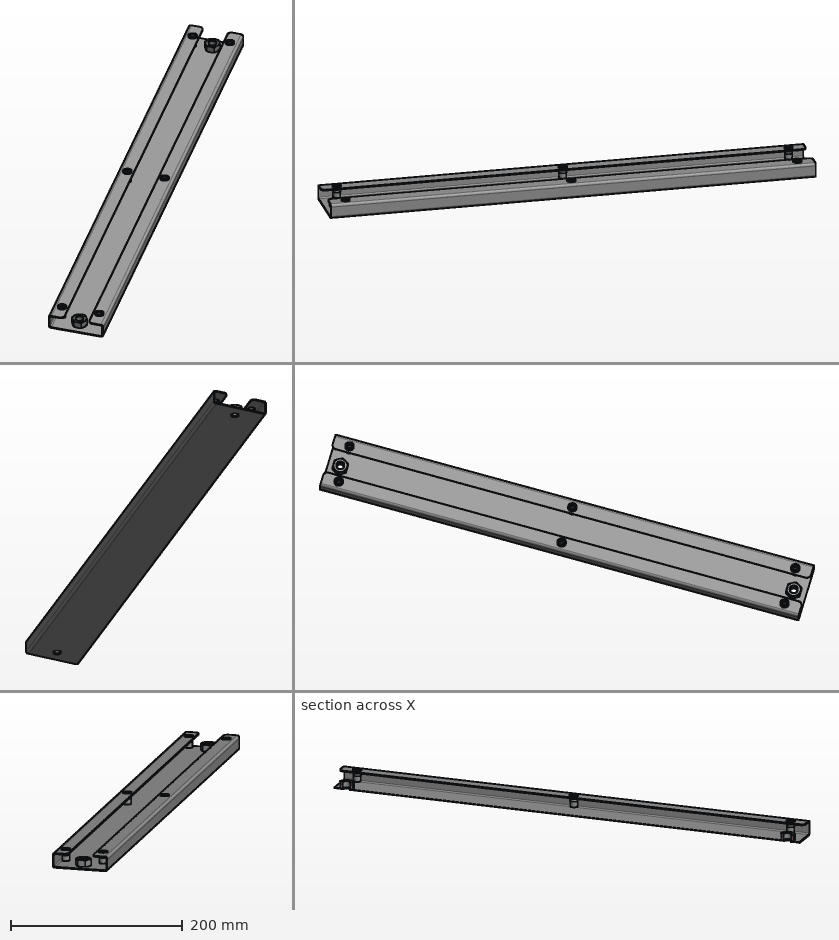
import cadquery as cq
import math

length = 580.0
width = 66.0
channel_height = 18.0
sheet = 1.5
mouth_width = 30.0
bend_radius = 3.0
inner_bend_radius = bend_radius - sheet
lip_corner_radius = 5.0

rivet_top = 18.5
rivet_x = 22.5
rivet_end_margin = 20.0
rivet_bottom = 4.5
rivet_head_diameter = 10.5
rivet_collar_diameter = 9.0
rivet_collar_bottom = 11.5
rivet_body_diameter = 8.5
rivet_bore_diameter = 7.5
rivet_thread_diameter = 6.0
rivet_thread_length = 10.0

nut_end_margin = 15.0
nut_across_flats = 16.0
nut_height = 8.0
nut_bore_diameter = 8.5
nut_mouth_diameter = 10.0
nut_chamfer_angle = 30

rivet_y = length / 2 - rivet_end_margin
rivet_points = [(side * rivet_x, y) for side in (-1, 1) for y in (-rivet_y, 0, rivet_y)]
nut_y = length / 2 - nut_end_margin
nut_points = [(0, -nut_y), (0, nut_y)]


def cylinder(diameter, bottom, top):
    return cq.Workplane("XY").workplane(offset=bottom).circle(diameter / 2).extrude(top - bottom)


def box(x_size, y_size, bottom, top):
    return cq.Workplane("XY").workplane(offset=bottom).rect(x_size, y_size).extrude(top - bottom)


def make_channel():
    outer = box(width, length, 0, channel_height).edges("|Y").fillet(bend_radius)
    inner = box(width - 2 * sheet, length, sheet, channel_height - sheet)
    inner = inner.edges("|Y").fillet(inner_bend_radius)
    mouth = box(mouth_width, length, channel_height / 2, channel_height)
    body = outer.cut(inner).cut(mouth)
    lip_corners = cq.selectors.BoxSelector(
        (-mouth_width, -length, channel_height - sheet),
        (mouth_width, length, channel_height),
    )
    body = body.edges("|Z").edges(lip_corners).fillet(lip_corner_radius)
    for x, y in rivet_points:
        lip_hole = cylinder(rivet_collar_diameter, channel_height / 2, channel_height)
        body = body.cut(lip_hole.translate((x, y, 0)))
    for x, y in nut_points:
        floor_hole = cylinder(nut_bore_diameter, 0, sheet)
        body = body.cut(floor_hole.translate((x, y, 0)))
    return body


def make_rivet_nut():
    body = cylinder(rivet_body_diameter, rivet_bottom, rivet_collar_bottom)
    body = body.union(cylinder(rivet_collar_diameter, rivet_collar_bottom, channel_height))
    body = body.union(cylinder(rivet_head_diameter, channel_height, rivet_top))
    body = body.cut(cylinder(rivet_thread_diameter, rivet_bottom, rivet_top))
    return body.cut(cylinder(rivet_bore_diameter, rivet_bottom + rivet_thread_length, rivet_top))


def make_hex_nut():
    bottom = sheet
    top = bottom + nut_height
    corner_diameter = nut_across_flats / math.cos(math.pi / 6)
    hexagon = cq.Workplane("XY").workplane(offset=bottom).polygon(6, corner_diameter).extrude(nut_height)
    drop = (corner_diameter - nut_across_flats) / 2 * math.tan(math.radians(nut_chamfer_angle))
    flat_radius = nut_across_flats / 2
    corner_radius = corner_diameter / 2
    turned = (
        cq.Workplane("XZ")
        .moveTo(0, bottom)
        .lineTo(flat_radius, bottom)
        .lineTo(corner_radius, bottom + drop)
        .lineTo(corner_radius, top - drop)
        .lineTo(flat_radius, top)
        .lineTo(0, top)
        .close()
        .revolve(360, (0, 0, 0), (0, 1, 0))
    )
    nut = hexagon.intersect(turned).cut(cylinder(nut_bore_diameter, bottom, top))
    mouth_depth = (nut_mouth_diameter - nut_bore_diameter) / 2
    return nut.edges("%CIRCLE").edges(cq.selectors.RadiusNthSelector(0)).chamfer(mouth_depth)


channel = make_channel()
rivet_nuts = [make_rivet_nut().translate((x, y, 0)) for x, y in rivet_points]
hex_nuts = [make_hex_nut().translate((x, y, 0)) for x, y in nut_points]

result = cq.Compound.makeCompound(
    [channel.val(), *[nut.val() for nut in rivet_nuts], *[nut.val() for nut in hex_nuts]]
)